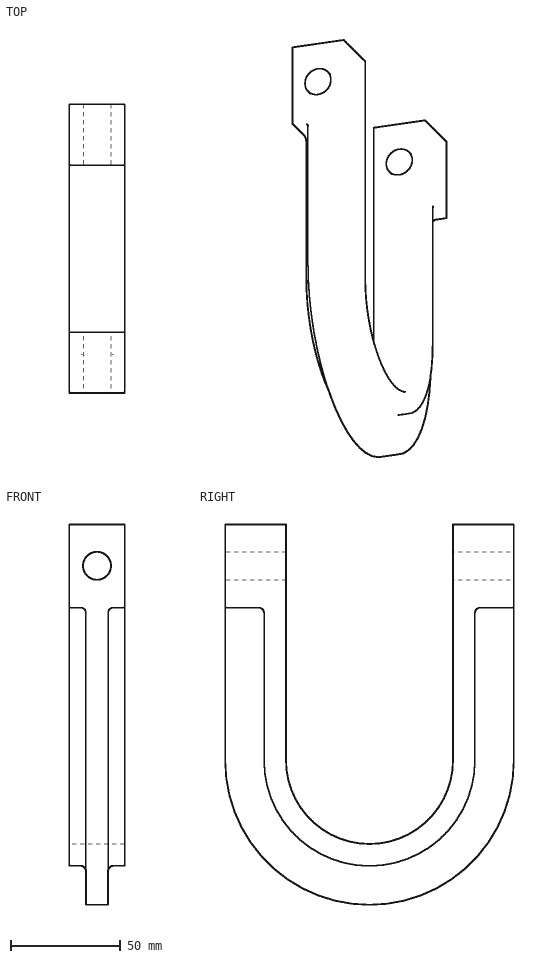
import cadquery as cq

width = 25.4
span = 132.0
height = 174.0

inner_radius = 38.1
outer_radius = span / 2
rim_radius = 48.2
web_thickness = 10.1

end_block_height = 38.1
hole_diameter = 12.7
hole_drop = 19.0

recess_fillet = 2.5
edge_round = 0.5

recess_depth = (width - web_thickness) / 2
cutter_margin = 8.7


def u_solid(radius, top, x_start, thickness):
    """Solid U-shaped plate: half-round bottom, straight sides up to top."""
    return (
        cq.Workplane("YZ", origin=(x_start, 0, 0))
        .moveTo(-radius, top)
        .lineTo(-radius, outer_radius)
        .threePointArc((0, outer_radius - radius), (radius, outer_radius))
        .lineTo(radius, top)
        .close()
        .extrude(thickness)
    )


def u_band(radius_out, radius_in, top, x_start, thickness):
    """U-shaped band between two concentric outlines."""
    outside = u_solid(radius_out, top, x_start, thickness)
    return outside.cut(u_solid(radius_in, top, x_start, thickness))


def recess_cutter(side):
    """Rounded cutter for the outer recess on one face; side is -1 or 1."""
    depth = recess_depth + cutter_margin
    floor_x = side * web_thickness / 2
    cutter = u_band(
        outer_radius + cutter_margin,
        rim_radius,
        height - end_block_height,
        min(floor_x, floor_x + side * depth),
        depth,
    )
    floor_selector = "<X" if side > 0 else ">X"
    corner_reach = rim_radius + recess_fillet
    corner_box = cq.selectors.BoxSelector(
        (-width, -corner_reach, outer_radius - corner_reach),
        (width, corner_reach, height),
    )
    floor_edges = cutter.faces(floor_selector).edges()
    top_corners = cutter.faces(">Z").edges("|X").edges(corner_box)
    return cutter.newObject(floor_edges.vals() + top_corners.vals()).edges().fillet(recess_fillet)


def is_sharp(edge):
    """True unless the edge is the smooth join of a leg and the half-round."""
    center = edge.Center()
    return abs(center.z - outer_radius) > edge_round or edge.BoundingBox().zlen > edge_round


body = u_band(outer_radius, inner_radius, height, -width / 2, width)
for side in (-1, 1):
    body = body.cut(recess_cutter(side))

body = body.faces("<X or >X or >Z or <Y or >Y").edges().filter(is_sharp).fillet(edge_round)

hole = (
    cq.Workplane("XZ", origin=(0, 0, height - hole_drop))
    .circle(hole_diameter / 2)
    .extrude(outer_radius, both=True)
)
result = body.cut(hole)